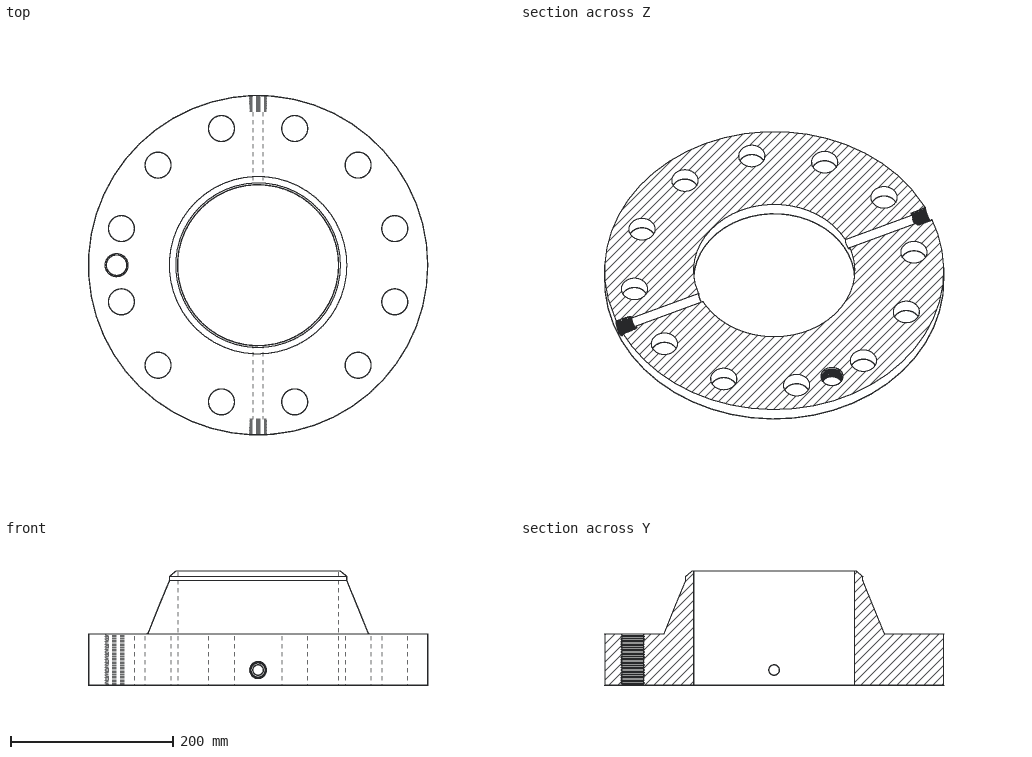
import cadquery as cq
import math

flange_diameter = 419.1
flange_thickness = 63.5
overall_height = 141.27
bore_diameter = 198.48

hub_base_diameter = 273.0
hub_fillet_radius = 3.0
neck_diameter = 219.1
neck_straight_height = 5.0
bevel_height = 6.6
weld_land_width = 2.4

bolt_count = 12
bolt_circle_diameter = 349.25
bolt_hole_diameter = 31.75

jack_major_diameter = 28.575
jack_minor_diameter = 25.0
jack_pitch = 25.4 / 8

tap_height = 19.0
tap_major_diameter = 21.3
tap_thread_depth = 20.0
tap_pitch = 25.4 / 14
tap_tooth_height = 0.8 * tap_pitch
tap_diameter_taper = 1 / 16
tap_pilot_diameter = 12.7


def flange_body():
    """Revolve the disc, neck and bore as one half section."""
    base_radius = hub_base_diameter / 2
    neck_radius = neck_diameter / 2
    bore_radius = bore_diameter / 2
    bevel_bottom = overall_height - bevel_height
    straight_bottom = bevel_bottom - neck_straight_height

    cone_angle = math.atan2(straight_bottom - flange_thickness, base_radius - neck_radius)
    tangent_length = hub_fillet_radius * math.tan(cone_angle / 2)
    fillet_outer = base_radius + tangent_length
    fillet_inner = base_radius - tangent_length * math.cos(cone_angle)
    fillet_top = flange_thickness + tangent_length * math.sin(cone_angle)
    arc_mid = (
        fillet_outer - hub_fillet_radius * math.sin(cone_angle / 2),
        flange_thickness + hub_fillet_radius * (1 - math.cos(cone_angle / 2)),
    )

    section = (
        cq.Workplane("XZ")
        .moveTo(bore_radius, 0)
        .lineTo(flange_diameter / 2, 0)
        .lineTo(flange_diameter / 2, flange_thickness)
        .lineTo(fillet_outer, flange_thickness)
        .threePointArc(arc_mid, (fillet_inner, fillet_top))
        .lineTo(neck_radius, straight_bottom)
        .lineTo(neck_radius, bevel_bottom)
        .lineTo(bore_radius + weld_land_width, overall_height)
        .lineTo(bore_radius, overall_height)
        .close()
    )
    return section.revolve(360, (0, 0, 0), (0, 1, 0))


def bolt_holes():
    """Bolt holes straddling the X and Y axes."""
    half_spacing = 180 / bolt_count
    return (
        cq.Workplane("XY")
        .polarArray(bolt_circle_diameter / 2, half_spacing, 360, bolt_count)
        .circle(bolt_hole_diameter / 2)
        .extrude(flange_thickness)
    )


def threaded_cutter(start_radius, tooth_height, pitch, depth, radius_taper=0):
    """Cutter along +Z from Z = 0 whose V-shaped ridges leave ring-shaped thread grooves."""
    thread_count = round(depth / pitch)
    step = depth / thread_count
    outline = cq.Workplane("XZ").moveTo(0, 0).lineTo(start_radius, 0)
    for thread in range(thread_count):
        valley = (thread + 0.5) * step
        crest = (thread + 1) * step
        outline = outline.lineTo(start_radius - valley * radius_taper - tooth_height, valley)
        outline = outline.lineTo(start_radius - crest * radius_taper, crest)
    return outline.lineTo(0, depth).close().revolve(360, (0, 0, 0), (0, 1, 0))


def jack_screw_hole():
    """Threaded hole through the flange on the -X side."""
    tooth_height = (jack_major_diameter - jack_minor_diameter) / 2
    cutter = threaded_cutter(jack_major_diameter / 2, tooth_height, jack_pitch, flange_thickness)
    return cutter.translate((-bolt_circle_diameter / 2, 0, 0))


def pressure_tap():
    """Radial hole from the -Y rim into the bore, taper threaded at its mouth."""
    rim_radius = flange_diameter / 2
    thread = threaded_cutter(
        tap_major_diameter / 2, tap_tooth_height, tap_pitch, tap_thread_depth, tap_diameter_taper / 2
    )
    pilot = cq.Workplane("XY").circle(tap_pilot_diameter / 2).extrude(rim_radius)
    cutter = thread.union(pilot).rotate((0, 0, 0), (1, 0, 0), -90)
    return cutter.translate((0, -rim_radius, tap_height))


result = flange_body().cut(bolt_holes()).cut(jack_screw_hole())
for side_angle in (0, 180):
    result = result.cut(pressure_tap().rotate((0, 0, 0), (0, 0, 1), side_angle))